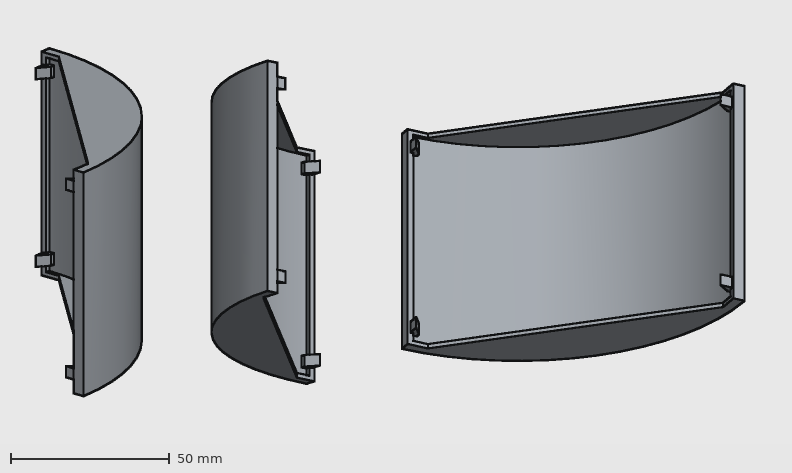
import cadquery as cq
import math

outer_radius = 80.15
height = 75.0
arc_wall = 2.4
end_wall = 2.0
plate_thickness = 1.5
end_depth = 4.0
end_length = 7.1

clip_inset = 1.0
clip_width = 3.05
clip_reach = 4.0
clip_height = 3.8
clip_margin = 4.2

inner_radius = outer_radius - arc_wall
end_face = outer_radius - end_depth


def make_body():
    half_chord = outer_radius * math.sqrt(0.5)
    return (
        cq.Workplane("XY")
        .moveTo(0, outer_radius)
        .threePointArc((half_chord, half_chord), (outer_radius, 0))
        .lineTo(end_face, 0)
        .lineTo(end_face, end_length)
        .lineTo(end_length, end_face)
        .lineTo(0, end_face)
        .close()
        .extrude(height)
    )


def make_cavity():
    """Round space between the plates, open toward the axis."""
    cavity_height = height - 2 * plate_thickness
    cylinder = (
        cq.Workplane("XY")
        .workplane(offset=plate_thickness)
        .circle(inner_radius)
        .extrude(cavity_height)
    )
    quadrant = (
        cq.Workplane("XY")
        .box(outer_radius, outer_radius, height, centered=False)
        .translate((end_wall, end_wall, 0))
    )
    return cylinder.intersect(quadrant)


def make_clip(bottom):
    """Clip at the X = 0 end: a wedge on a root that runs back into the curved wall."""
    clip_far_side = clip_inset + clip_width
    root = outer_radius - arc_wall / 2
    return (
        cq.Workplane("XY")
        .workplane(offset=bottom)
        .moveTo(clip_inset, end_face - clip_reach)
        .lineTo(clip_far_side, end_face)
        .lineTo(clip_far_side, root)
        .lineTo(clip_inset, root)
        .close()
        .extrude(clip_height)
    )


def swap_ends(shape):
    """Mirror across the diagonal plane X = Y, onto the Y = 0 end."""
    return shape.mirror("XZ").rotate((0, 0, 0), (0, 0, 1), 90)


result = make_body().cut(make_cavity())
for clip_bottom in (clip_margin, height - clip_margin - clip_height):
    clip = make_clip(clip_bottom)
    result = result.union(clip).union(swap_ends(clip))